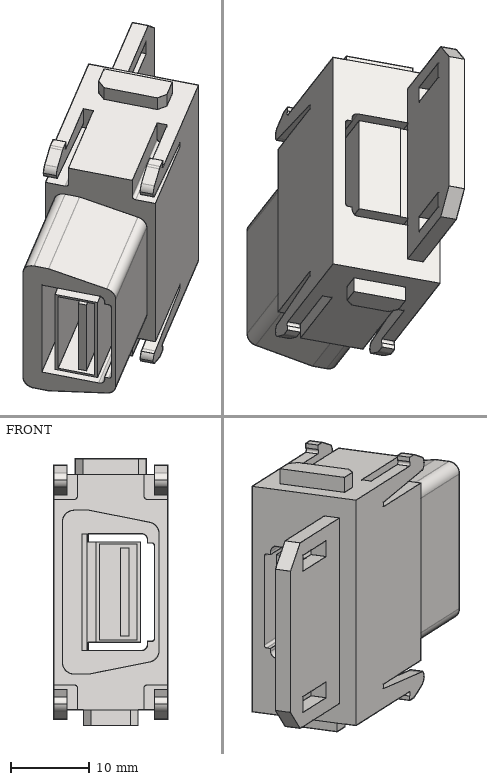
import cadquery as cq


overall_length = 49.5
overall_height = 34.2

body_width = 14.65
body_height = 30.2
body_depth = 19.95

shroud_length = 14.35
shroud_half_width = 6.2
shroud_half_height = 10.5
shroud_taper_start_x = -2.75
shroud_short_side_half_height = 8.7
shroud_corner_radius = 1.5

opening_left_x = -3.65
housing_opening_left_x = -3.0
opening_half_height = 7.45
opening_step_x = 4.7
opening_right_x = 5.6
opening_right_half_height = 6.3
opening_step_radius = 0.8
opening_right_radius = 0.35

plug_overhang = 0.15
plug_rib_front_y = 1.0
plug_left_x = -1.9
plug_right_x = 3.8
plug_half_height = 6.45
plug_side_wall = 0.45
plug_end_wall = 0.3
plug_pocket_depth = 9.9
tongue_left_x = 1.25
tongue_right_x = 2.35
tongue_half_height = 5.65

plate_left_x = -5.0
plate_right_x = -2.85
plate_half_height = 12.4
plate_length = overall_length - body_depth - shroud_length - plug_overhang
plate_chamfer = 2.95
plate_slot_length = 7.05
plate_slot_height = 2.15
plate_slot_center_z = 9.45
plate_slot_back_gap = 3.9

key_height = (overall_height - body_height) / 2
key_back_y = 17.4
key_depth = 3.45
key_chamfer = 1.0
top_key_width = 9.1
bottom_key_width = 7.05

latch_arm_width = 1.75
latch_gap_width = 1.35
latch_recess_depth = 11.5
latch_recess_floor_z = 11.9
latch_recess_radius = 0.45
latch_root_z = 12.45
latch_tip_underside_z = 13.45
hook_back_y = 3.45
hook_top_z = 16.3
hook_crest_y = 2.1
hook_crest_radius = 1.0
hook_ramp_end = (-0.4, 15.25)
hook_nose_shoulder = (-0.8, 14.9)
hook_nose = (-1.05, 14.35)
hook_nose_chin = (-0.9, 13.85)
hook_nose_bottom_y = -0.55
hook_groove_depth = 0.2
hook_groove_height = 0.6


def box(x_range, y_range, z_range):
    """Box spanning the given (low, high) limits along each axis."""
    sizes = [high - low for low, high in (x_range, y_range, z_range)]
    corner = (x_range[0], y_range[0], z_range[0])
    return cq.Workplane("XY").box(*sizes, centered=False).translate(corner)


def symmetric(half):
    return (-half, half)


def extrude_along_y(points, y_start, y_end):
    """Prism with the (x, z) outline between two Y positions."""
    plane = cq.Workplane("XZ", origin=(0, y_end, 0))
    return plane.polyline(points).close().extrude(y_end - y_start)


def mirrored_outline(upper_points):
    """Outline closed by reflecting its upper (x, z) points in Z = 0."""
    return upper_points + [(x, -z) for x, z in reversed(upper_points)]


def make_shroud():
    """Shroud that tapers toward its right side, with rounded corners."""
    outline = mirrored_outline([
        (-shroud_half_width, shroud_half_height),
        (shroud_taper_start_x, shroud_half_height),
        (shroud_half_width, shroud_short_side_half_height),
    ])
    shroud = extrude_along_y(outline, -shroud_length, 0)
    for side in ("<X", ">X"):
        shroud = shroud.edges("|Y").edges(side).fillet(shroud_corner_radius)
    return shroud


def make_opening(left_x, y_start, y_end):
    """Through opening with a narrower bay on its right side."""
    main = box((left_x, opening_step_x), (y_start, y_end), symmetric(opening_half_height))
    main = main.edges("|Y and >X").fillet(opening_step_radius)
    bay = box(
        (opening_step_x - opening_step_radius, opening_right_x),
        (y_start, y_end),
        symmetric(opening_right_half_height),
    )
    bay = bay.edges("|Y and >X").fillet(opening_right_radius)
    return main.union(bay)


def make_plug():
    """Plug shell with a tongue in its pocket and a rib to the opening wall."""
    front_y = -shroud_length - plug_overhang
    back_y = body_depth + plug_overhang
    pocket_y = (front_y, front_y + plug_pocket_depth)
    shell = box((plug_left_x, plug_right_x), (front_y, back_y), symmetric(plug_half_height))
    pocket = box(
        (plug_left_x + plug_side_wall, plug_right_x - plug_side_wall),
        pocket_y,
        symmetric(plug_half_height - plug_end_wall),
    )
    tongue = box((tongue_left_x, tongue_right_x), pocket_y, symmetric(tongue_half_height))
    rib = box(
        (housing_opening_left_x, plug_left_x),
        (plug_rib_front_y, body_depth),
        symmetric(plug_half_height),
    )
    return shell.cut(pocket).union(tongue).union(rib)


def make_plate():
    back_y = body_depth + plate_length
    plate = box((plate_left_x, plate_right_x), (body_depth, back_y), symmetric(plate_half_height))
    plate = plate.edges("|X and >Y").chamfer(plate_chamfer)
    slot_back_y = back_y - plate_slot_back_gap
    for center_z in (plate_slot_center_z, -plate_slot_center_z):
        slot = box(
            (plate_left_x, plate_right_x),
            (slot_back_y - plate_slot_length, slot_back_y),
            (center_z - plate_slot_height / 2, center_z + plate_slot_height / 2),
        )
        plate = plate.cut(slot)
    return plate


def make_key(width, z_range):
    key = box(symmetric(width / 2), (key_back_y - key_depth, key_back_y), z_range)
    return key.edges("|Z and <Y").chamfer(key_chamfer)


def make_latch_recess():
    """Clearance under and beside the latch arm at the top right corner."""
    inner_x = body_width / 2 - latch_arm_width - latch_gap_width
    recess = box(
        (inner_x, body_width / 2),
        (0, latch_recess_depth),
        (latch_recess_floor_z, body_height / 2),
    )
    return recess.edges("|Y and <X and <Z").fillet(latch_recess_radius)


def make_latch_arm():
    """Tapered latch arm with a hooked nose at the top right corner."""
    top_z = body_height / 2
    arm_center_x = (body_width - latch_arm_width) / 2
    profile = (
        cq.Workplane("YZ", origin=(body_width / 2 - latch_arm_width, 0, 0))
        .moveTo(latch_recess_depth, latch_root_z)
        .lineTo(latch_recess_depth, top_z)
        .lineTo(hook_back_y, top_z)
        .threePointArc(
            (hook_back_y - hook_groove_depth, top_z + hook_groove_height / 2),
            (hook_back_y, top_z + hook_groove_height),
        )
        .lineTo(hook_back_y, hook_top_z)
        .lineTo(hook_crest_y, hook_top_z)
        .lineTo(*hook_ramp_end)
        .threePointArc(hook_nose_shoulder, hook_nose)
        .threePointArc(hook_nose_chin, (hook_nose_bottom_y, latch_tip_underside_z))
        .lineTo(0, latch_tip_underside_z)
        .close()
    )
    arm = profile.extrude(latch_arm_width)
    crest = cq.selectors.NearestToPointSelector((arm_center_x, hook_crest_y, hook_top_z))
    return arm.edges("|X").edges(crest).fillet(hook_crest_radius)


def at_four_corners(solid):
    """The solid together with its mirror images in X = 0 and Z = 0."""
    pair = solid.union(solid.mirror("YZ"))
    return pair.union(pair.mirror("XY"))


body = box(symmetric(body_width / 2), (0, body_depth), symmetric(body_height / 2))
body = body.cut(at_four_corners(make_latch_recess()))
body = body.union(at_four_corners(make_latch_arm()))
body = body.union(make_shroud())
body = body.union(make_key(top_key_width, (body_height / 2, body_height / 2 + key_height)))
body = body.union(make_key(bottom_key_width, (-body_height / 2 - key_height, -body_height / 2)))
body = body.cut(make_opening(opening_left_x, -shroud_length, 0))
body = body.cut(make_opening(housing_opening_left_x, 0, body_depth))

result = body.union(make_plate()).union(make_plug())